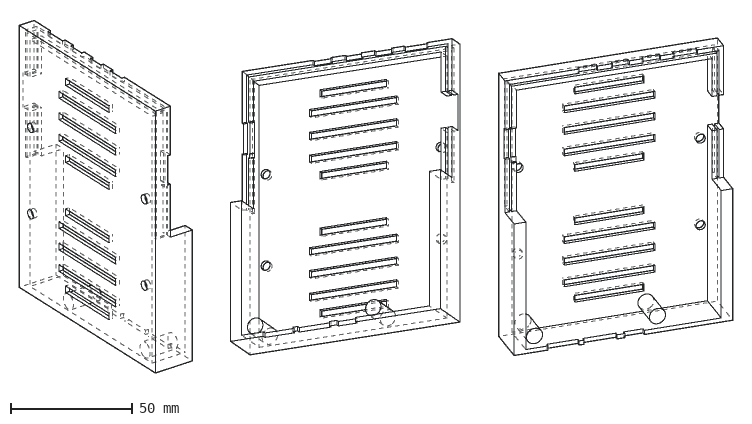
import cadquery as cq
width = 96.0
depth = 18.8
height = 121.5

floor_thickness = 2.0
side_wall = 5.1
bottom_wall = 2.0
low_rim = 7.7
step_height = height / 2

skin = 2.0
groove_width = 1.0

slot_height = 3.0
long_slot = 39.7
short_slot = 30.4
slot_group_spacing = 60.4
long_slot_pitch = 10.0
short_slot_offset = 17.9

hole_diameter = 4.0
hole_spacing_x = 80.0
hole_spacing_z = 40.0
hole_centre_z = 57.2

boss_diameter = 7.0
boss_top = 16.0
boss_centre_z = 6.1
boss_centres_x = (32.1, 86.0)

connector_floor = 17.3
connector_spans = ((38.9, 47.4), (50.8, 65.2), (67.4, 81.0))
notch_floor = 6.3
notch_spans = ((11.5, 21.9), (27.7, 35.4), (41.4, 48.8), (55.4, 63.5))
window_bottom = 83.1
window_top = 98.9
right_notch_bottom = 85.3
land_floor = 6.7


def block(x_span, y_span, z_span):
    """Axis-aligned box given by its start and end along each axis."""
    sizes = [end - start for start, end in (x_span, y_span, z_span)]
    corner = (x_span[0], y_span[0], z_span[0])
    return cq.Workplane("XY").box(*sizes, centered=False).translate(corner)


def floor_cylinder(x, z, diameter, y_end):
    """Cylinder along +Y from the front face to y_end."""
    return cq.Workplane("XZ").center(x, z).circle(diameter / 2).extrude(-y_end)


def shell():
    """Open-backed tray, deep in its lower half and shallow in its upper half."""
    tray = block((0, width), (0, depth), (0, step_height))
    tray = tray.union(block((0, width), (0, low_rim), (step_height, height)))
    cavity = block(
        (side_wall, width - side_wall),
        (floor_thickness, depth),
        (bottom_wall, height - side_wall),
    )
    return tray.cut(cavity)


def rim_groove():
    """U-shaped groove along the left, top and right rims of the upper half."""
    inset = skin + groove_width
    y_span = (floor_thickness, low_rim)
    outer = block((skin, width - skin), y_span, (step_height, height - skin))
    inner = block((inset, width - inset), y_span, (step_height, height - inset))
    return outer.cut(inner)


def vent_slots():
    """Both groups of ventilation slots through the floor."""
    slots = cq.Workplane("XY")
    rows = [(offset, long_slot) for offset in (-long_slot_pitch, 0, long_slot_pitch)]
    rows += [(offset, short_slot) for offset in (-short_slot_offset, short_slot_offset)]
    for group_sign in (-1, 1):
        group_z = height / 2 + group_sign * slot_group_spacing / 2
        for offset, length in rows:
            slot = cq.Workplane("XY").box(length, floor_thickness, slot_height)
            slot = slot.translate((width / 2, floor_thickness / 2, group_z + offset))
            slots = slots.add(slot)
    return slots.combine()


def screw_holes():
    """Four screw holes through the floor, in a rectangle."""
    holes = cq.Workplane("XY")
    for x_sign in (-1, 1):
        for z_sign in (-1, 1):
            x = width / 2 + x_sign * hole_spacing_x / 2
            z = hole_centre_z + z_sign * hole_spacing_z / 2
            holes = holes.add(floor_cylinder(x, z, hole_diameter, floor_thickness))
    return holes.combine()


def rim_openings():
    """Every opening cut into the rims, as a list of solids."""
    right_wall = (width - side_wall, width)
    openings = [
        block((0, side_wall), (floor_thickness, low_rim), (window_bottom, window_top)),
        block(right_wall, (notch_floor, low_rim), (right_notch_bottom, window_top)),
        block(
            (width - side_wall, width - skin),
            (land_floor, low_rim),
            (window_bottom, right_notch_bottom),
        ),
    ]
    for span in connector_spans:
        openings.append(block(span, (connector_floor, depth), (0, bottom_wall)))
    for span in notch_spans:
        openings.append(block(span, (notch_floor, low_rim), (height - skin, height)))
    return openings


result = shell().cut(rim_groove()).cut(vent_slots()).cut(screw_holes())
for opening in rim_openings():
    result = result.cut(opening)
for boss_x in boss_centres_x:
    boss = floor_cylinder(boss_x, boss_centre_z, boss_diameter, boss_top)
    result = result.union(boss)